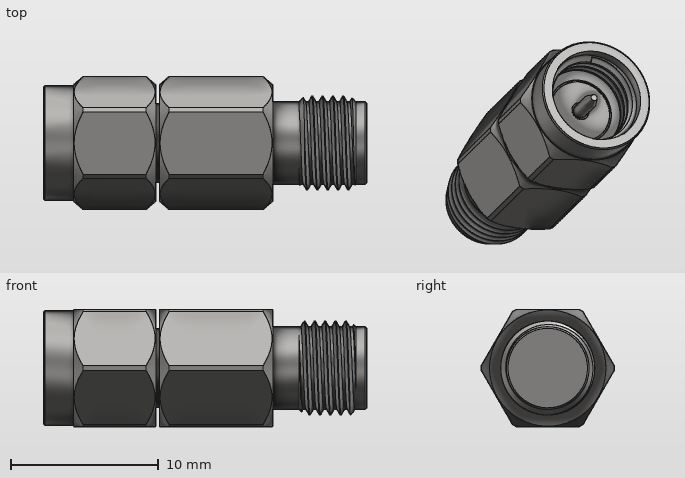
import cadquery as cq
import math

LENGTH = 21.85
COLLAR_END = 2.0
NUT_END = 7.58
BODY_START = 7.82
BODY_END = 15.48
THREAD_START = 17.25
THREAD_END = 21.1

COLLAR_DIA = 7.75
COLLAR_CHAMFER = 0.09
NECK_DIA = 5.33
SHANK_DIA = 5.6
SHANK_CHAMFER = 0.1

ACROSS_FLATS = 7.95
CORNER_DIA = 9.0
HEX_FACE_DIA = 7.86
HEX_CONE_LENGTH = 0.65

THREAD_DIA = 6.35
PITCH = 0.7
THREAD_DEPTH = (THREAD_DIA - SHANK_DIA) / 2
CREST_WIDTH = 0.07
FLANK_ANGLE = 30.0
ROOT_OVERLAP = 0.05
FIRST_CREST = 17.62

ENTRY_DEPTH = 0.79
ENTRY_TAPER = 0.26
SOCKET_DEPTH = 3.1
INNER_THREAD_START = 0.95
INNER_THREAD_TURNS = 3.5
INSULATOR_DIA = 4.22
INSULATOR_GAP_DIA = 4.45
GAP_DEPTH = 0.1

PIN_DIA = 0.95
PIN_TIP_DIA = 0.44
PIN_TIP_START = 0.45
PIN_TIP_END = 1.35
PIN_GAP_DIA = 1.2


def cylinder(start, end, diameter):
    return cq.Workplane("YZ", origin=(start, 0, 0)).circle(diameter / 2).extrude(end - start)


def ring(start, end, outer_dia, inner_dia):
    return cylinder(start, end, outer_dia).cut(cylinder(start, end, inner_dia))


def turned(profile):
    """Revolve (x, radius) points about the X axis."""
    return cq.Workplane("XY").polyline(profile).close().revolve(360, (0, 0, 0), (1, 0, 0))


def hex_section(start, end):
    """Hexagon with rounded corners and a conical chamfer at each end."""
    corner_to_corner = ACROSS_FLATS / math.cos(math.radians(30))
    prism = (
        cq.Workplane("YZ", origin=(start, 0, 0))
        .polygon(6, corner_to_corner)
        .extrude(end - start)
    )
    envelope = turned([
        (start, 0),
        (start, HEX_FACE_DIA / 2),
        (start + HEX_CONE_LENGTH, CORNER_DIA / 2),
        (end - HEX_CONE_LENGTH, CORNER_DIA / 2),
        (end, HEX_FACE_DIA / 2),
        (end, 0),
    ])
    return prism.intersect(envelope)


def thread_ridge(start, turns, root_radius, depth):
    """Right-handed V ridge about X; its crest starts on +Z at x = start."""
    half_crest = CREST_WIDTH / 2
    half_root = half_crest + (depth + ROOT_OVERLAP) * math.tan(math.radians(FLANK_ANGLE))
    inner = root_radius - ROOT_OVERLAP
    crest = root_radius + depth
    helix = cq.Wire.makeHelix(PITCH, turns * PITCH, root_radius)
    ridge = (
        cq.Workplane("XZ")
        .polyline([(inner, -half_root), (crest, -half_crest), (crest, half_crest), (inner, half_root)])
        .close()
        .sweep(cq.Workplane(obj=helix), isFrenet=True)
    )
    ridge = ridge.rotate((0, 0, 0), (0, 1, 0), 90).rotate((0, 0, 0), (1, 0, 0), 180)
    return ridge.translate((start, 0, 0))


def outer_thread():
    """External thread that runs out conically at both ends."""
    turns = math.ceil((THREAD_END - THREAD_START) / PITCH) + 1
    ridge = thread_ridge(FIRST_CREST - PITCH, turns, SHANK_DIA / 2, THREAD_DEPTH)
    apex = (THREAD_END - THREAD_START) / 2
    core = SHANK_DIA / 2 - 2 * ROOT_OVERLAP
    envelope = turned([
        (THREAD_START, core),
        (THREAD_START, SHANK_DIA / 2),
        (THREAD_START + apex, SHANK_DIA / 2 + apex),
        (THREAD_END, SHANK_DIA / 2),
        (THREAD_END, core),
    ])
    return ridge.intersect(envelope)


def socket():
    """Entry bore, taper to the thread bore, and the internal thread groove."""
    bore = turned([
        (0, 0),
        (0, THREAD_DIA / 2),
        (ENTRY_DEPTH, THREAD_DIA / 2),
        (ENTRY_DEPTH + ENTRY_TAPER, SHANK_DIA / 2),
        (SOCKET_DEPTH, SHANK_DIA / 2),
        (SOCKET_DEPTH, 0),
    ])
    groove = thread_ridge(INNER_THREAD_START, INNER_THREAD_TURNS, SHANK_DIA / 2, THREAD_DEPTH)
    return bore.union(groove.intersect(cylinder(0, SOCKET_DEPTH, COLLAR_DIA)))


def floor_gap(outer_dia, inner_dia):
    return ring(SOCKET_DEPTH, SOCKET_DEPTH + GAP_DEPTH, outer_dia, inner_dia)


def centre_pin():
    return turned([
        (PIN_TIP_START, 0),
        (PIN_TIP_START, PIN_TIP_DIA / 2),
        (PIN_TIP_END, PIN_DIA / 2),
        (SOCKET_DEPTH + 2 * GAP_DEPTH, PIN_DIA / 2),
        (SOCKET_DEPTH + 2 * GAP_DEPTH, 0),
    ])


collar = cylinder(0, COLLAR_END, COLLAR_DIA).faces("<X").edges().chamfer(COLLAR_CHAMFER)
neck = cylinder(NUT_END, BODY_START, NECK_DIA)
shank = cylinder(BODY_END, LENGTH, SHANK_DIA).faces(">X").edges().chamfer(SHANK_CHAMFER)

result = collar.union(hex_section(COLLAR_END, NUT_END)).union(neck)
result = result.union(hex_section(BODY_START, BODY_END)).union(shank).union(outer_thread())
result = result.cut(socket())
result = result.cut(floor_gap(INSULATOR_GAP_DIA, INSULATOR_DIA))
result = result.cut(floor_gap(PIN_GAP_DIA, PIN_DIA))
result = result.union(centre_pin())